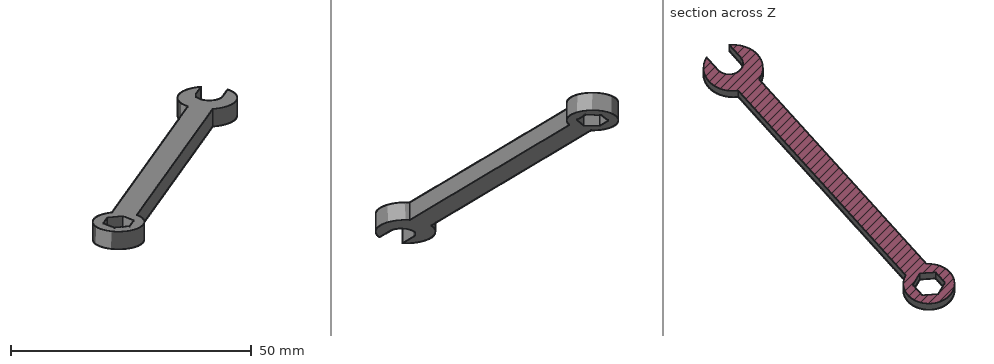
import cadquery as cq
import math

length = 81.4
thickness = 4.0
shank_width = 5.4
ring_radius = 5.4
hex_across_flats = 5.7
head_radius = 6.22
jaw_gap = 5.7
jaw_depth = 6.9

jaw_radius = jaw_gap / 2
ring_y = ring_radius
head_y = length - math.sqrt(head_radius**2 - jaw_radius**2)
jaw_arc_y = length - jaw_depth + jaw_radius
hex_across_corners = hex_across_flats / math.cos(math.pi / 6)


def disc(y, radius):
    return cq.Workplane("XY").center(0, y).circle(radius).extrude(thickness)


def shank():
    span = head_y - ring_y
    middle_y = (head_y + ring_y) / 2
    return cq.Workplane("XY").center(0, middle_y).rect(shank_width, span).extrude(thickness)


def hex_hole():
    hexagon = cq.Workplane("XY").polygon(6, hex_across_corners).extrude(thickness)
    return hexagon.rotate((0, 0, 0), (0, 0, 1), 90).translate((0, ring_y, 0))


def jaw_opening():
    slot_end_y = head_y + head_radius
    return (
        cq.Workplane("XY")
        .moveTo(-jaw_radius, slot_end_y)
        .lineTo(-jaw_radius, jaw_arc_y)
        .threePointArc((0, jaw_arc_y - jaw_radius), (jaw_radius, jaw_arc_y))
        .lineTo(jaw_radius, slot_end_y)
        .close()
        .extrude(thickness)
    )


body = shank().union(disc(ring_y, ring_radius)).union(disc(head_y, head_radius))
result = body.cut(hex_hole()).cut(jaw_opening())